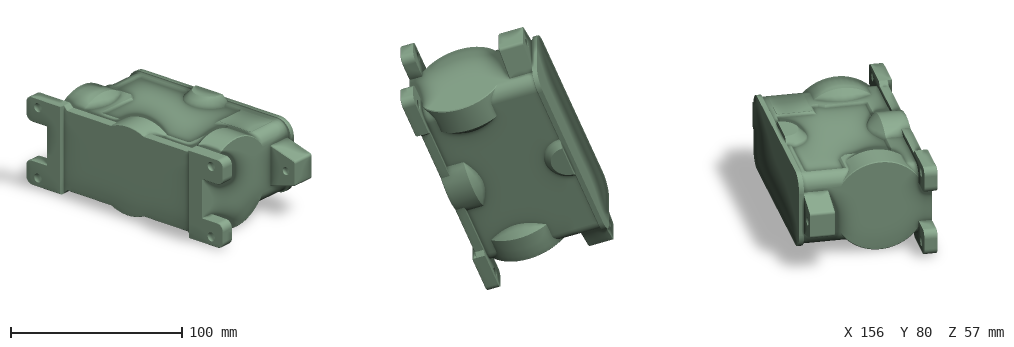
import cadquery as cq


length = 156.0
height = 80.0
width = 57.0

body_half_x = 59.5
body_half_z = 22.6
body_corner = 7.8

flange_half_x = 62.0
flange_half_z = 23.7
flange_corner = 10.1
flange_thick = 3.0
flange_y = height - flange_thick
flange_root_fillet = 0.8

base_top = 8.0
plate_y = 2.5
plate_half_z = 25.6
plate_flare_x = 45.9
foot_half_x = 75.2
foot_half_z = 28.1
foot_inner_x = 48.4
foot_notch_half_z = 12.3
foot_corner = 4.5
foot_edge = 0.3
foot_inner_edge = 0.8
plate_edge = 0.3
foot_hole_x = 66.1
foot_hole_z = 22.5
foot_hole_d = 5.6

boss_r = width / 2
end_boss_inner_x = 42.7
end_boss_y = plate_y + boss_r
end_boss_edge = 0.5
front_boss_end_y = 18.3
boss_cone = 9.4

ear_y = 62.0
ear_root_half_z = 13.1
ear_tip_half_z = 7.8
ear_tip_fillet = 1.9
ear_edge = 0.5
ear_hole_x = 71.1
ear_hole_d = 5.0

pad_z = 26.7
pad_r = 10.1

panel_depth = 1.4
panel_left, panel_right, panel_bottom, panel_top = -51.5, 34.5, 18.1, 74.4
panel_corner = 2.5
panel_label_x, panel_label_y = 27.5, 51.5
panel_bulge_x, panel_bulge_y, panel_bulge_slope = 36.7, 46.8, 3.6
panel_step_x, panel_step_y, panel_step_chamfer = -33.5, 49.6, 3.5
label_left, label_right, label_bottom, label_top = 28.0, 52.0, 52.4, 73.5
label_corner = 1.5
label_rise = 0.2


def rounded_block(y, half_x, half_z, corner, depth):
    """Rounded block standing on the plane at y and growing toward +Y."""
    block = cq.Workplane("XY").box(2 * half_x, depth, 2 * half_z)
    return block.edges("|Y").fillet(corner).translate((0, y + depth / 2, 0))


def pin_along_y(x, z, diameter, y_from, y_to):
    """Cylinder along Y, used to cut the screw holes."""
    return xz_plane(y_from).center(x, -z).circle(diameter / 2).extrude(y_to - y_from)


def xz_plane(y):
    """Sketch plane at height y facing +Y; sketch coordinates are (x, -z)."""
    return cq.Workplane(cq.Plane(origin=(0, y, 0), xDir=(1, 0, 0), normal=(0, 1, 0)))


def make_body():
    body = rounded_block(base_top, body_half_x, body_half_z, body_corner, height - base_top)
    flange = rounded_block(flange_y, flange_half_x, flange_half_z, flange_corner, flange_thick)
    joined = body.union(flange)
    underside = joined.faces(">Y[-2]").val()
    root_edges = underside.innerWires()[0].Edges()
    return joined.newObject(root_edges).fillet(flange_root_fillet)


def make_panel():
    """Cutter for the panel: 45 degree walls down to a flat floor."""
    rounded = [
        (panel_left, panel_top),
        (panel_label_x, panel_top),
        (panel_bulge_x, panel_label_y),
        (panel_right, panel_bottom),
        (panel_step_x, panel_bottom),
    ]
    upper_left, upper_right, bulge, lower_right, lower_left = rounded
    outline = [
        upper_left,
        upper_right,
        (panel_label_x, panel_label_y),
        bulge,
        (panel_bulge_x, panel_bulge_y),
        (panel_right, panel_bulge_y - panel_bulge_slope),
        lower_right,
        lower_left,
        (panel_step_x, panel_step_y - panel_step_chamfer),
        (panel_step_x - panel_step_chamfer, panel_step_y),
        (panel_left, panel_step_y),
    ]
    floor_z = body_half_z - panel_depth
    prism = cq.Workplane("XY").workplane(offset=floor_z).polyline(outline).close()
    prism = prism.extrude(2 * panel_depth)
    for x, y in rounded:
        corner = cq.selectors.NearestToPointSelector((x, y, body_half_z))
        prism = prism.edges("|Z").edges(corner).fillet(panel_corner)
    return prism.faces("<Z").edges().chamfer(panel_depth)


def make_base():
    plate_outline = [
        (plate_flare_x, plate_half_z),
        (foot_inner_x, foot_half_z),
        (body_half_x, foot_half_z),
    ]
    right = plate_outline + [(x, -z) for x, z in reversed(plate_outline)]
    left = [(-x, -z) for x, z in right]
    plate = xz_plane(plate_y).polyline(right + left).close().extrude(base_top - plate_y)
    return plate.faces("<Y").edges().chamfer(plate_edge)


def make_foot():
    """Foot on the +X side: two rounded tabs joined by a cross bar."""
    foot_length = foot_half_x - foot_inner_x
    foot = xz_plane(0).center(foot_inner_x + foot_length / 2, 0)
    foot = foot.rect(foot_length, 2 * foot_half_z).extrude(base_top)
    notch_length = foot_half_x - body_half_x
    notch = xz_plane(0).center(body_half_x + notch_length / 2, 0)
    foot = foot.cut(notch.rect(notch_length, 2 * foot_notch_half_z).extrude(base_top))
    foot = foot.edges("|Y and >X").fillet(foot_corner)
    foot = foot.faces("<Y").edges("not <X").chamfer(foot_edge)
    foot = foot.faces("<Y").edges("<X").chamfer(foot_inner_edge)
    for side in (1, -1):
        foot = foot.cut(pin_along_y(foot_hole_x, side * foot_hole_z, foot_hole_d, 0, base_top))
    return foot


def make_end_boss():
    """Boss on the +X side, revolved about its own X axis."""
    profile = [
        (end_boss_inner_x - boss_cone, 0),
        (end_boss_inner_x - boss_cone, boss_r - boss_cone),
        (end_boss_inner_x, boss_r),
        (body_half_x - end_boss_edge, boss_r),
        (body_half_x, boss_r - end_boss_edge),
        (body_half_x, 0),
    ]
    boss = cq.Workplane("XY").polyline(profile).close().revolve(360, (0, 0), (1, 0))
    return boss.translate((0, end_boss_y, 0))


def make_front_boss():
    """Boss under the middle of the housing, revolved about the Y axis."""
    profile = [
        (0, plate_y),
        (boss_r - plate_edge, plate_y),
        (boss_r, plate_y + plate_edge),
        (boss_r, front_boss_end_y),
        (boss_r - boss_cone, front_boss_end_y + boss_cone),
        (0, front_boss_end_y + boss_cone),
    ]
    return cq.Workplane("XY").polyline(profile).close().revolve(360, (0, 0), (0, 1))


def make_ear():
    """Ear on the +X side, tapering toward its tip."""
    outline = [
        (body_half_x, ear_root_half_z),
        (length / 2, ear_tip_half_z),
        (length / 2, -ear_tip_half_z),
        (body_half_x, -ear_root_half_z),
    ]
    ear = xz_plane(ear_y).polyline(outline).close().extrude(flange_y - ear_y)
    ear = ear.edges("|Y and >X").fillet(ear_tip_fillet)
    ear = ear.faces("<Y").edges("not <X").chamfer(ear_edge)
    return ear.cut(pin_along_y(ear_hole_x, 0, ear_hole_d, ear_y, flange_y))


def make_pads():
    """Half cones on both broad faces, with 45 degree flanks."""
    rise = pad_z - (body_half_z - panel_depth)
    root_r = pad_r + rise
    cone = cq.Solid.makeCone(root_r, pad_r, rise, pnt=cq.Vector(0, flange_y, pad_z - rise))
    half = cq.Workplane("XY").box(2 * root_r, root_r, pad_z, centered=(True, False, False))
    half = half.translate((0, flange_y - root_r, 0))
    upper = cq.Workplane(cone).intersect(half)
    return upper.union(upper.mirror("XY"))


def make_label():
    field = cq.Workplane("XY").box(
        label_right - label_left, label_top - label_bottom, label_rise, centered=False
    )
    field = field.edges("|Z").fillet(label_corner)
    return field.translate((label_left, label_bottom, body_half_z))


result = make_body().cut(make_panel()).union(make_base()).union(make_label())
for end_part in (make_foot(), make_end_boss(), make_ear()):
    result = result.union(end_part).union(end_part.mirror("YZ"))
result = result.union(make_front_boss()).union(make_pads())